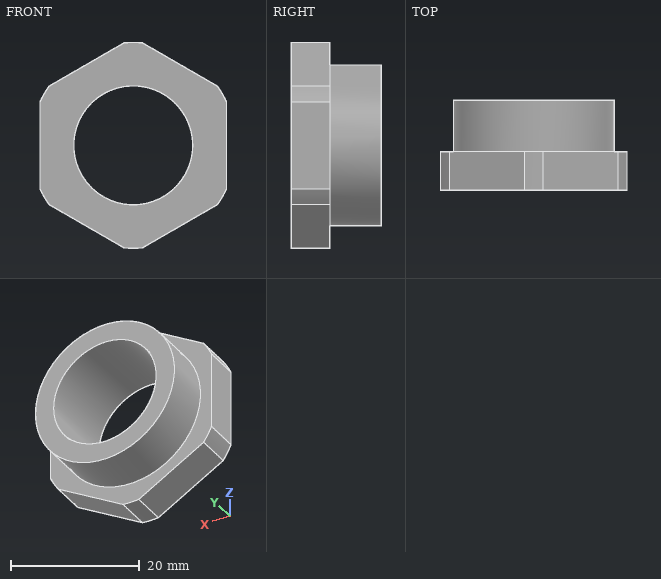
import cadquery as cq
import math

corner_diameter = 32.0
across_flats = 29.0
flange_thickness = 6.0
total_length = 14.0
collar_diameter = 25.02
bore_diameter = 18.43

hexagon_diameter = across_flats / math.cos(math.pi / 6)
hexagon_turn = 90


def cylinder(diameter, length):
    """Cylinder along +Y, starting at the flange's outer face (Y = 0)."""
    return cq.Workplane("XZ").circle(diameter / 2).extrude(-length)


hexagon = (
    cq.Workplane("XZ")
    .polygon(6, hexagon_diameter)
    .extrude(-flange_thickness)
    .rotate((0, 0, 0), (0, 1, 0), hexagon_turn)
)
flange = hexagon.intersect(cylinder(corner_diameter, flange_thickness))

collar = cylinder(collar_diameter, total_length)
bore = cylinder(bore_diameter, total_length)

result = flange.union(collar).cut(bore)